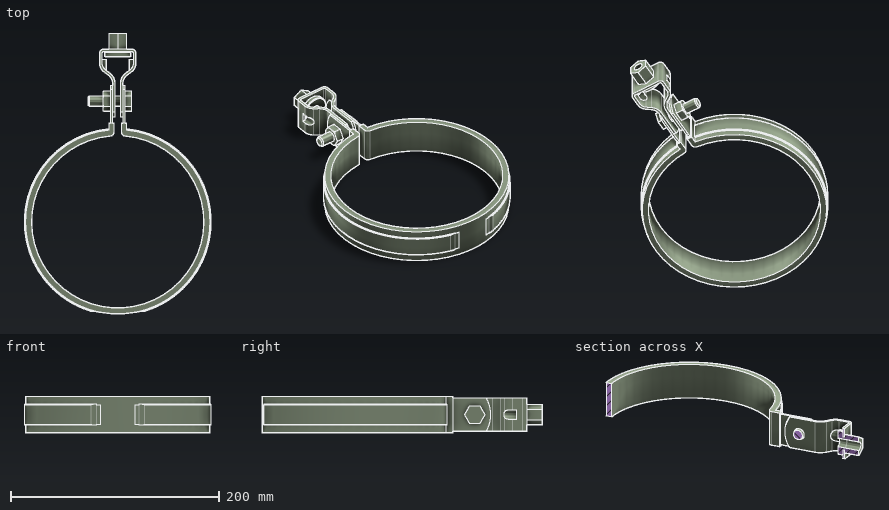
import cadquery as cq
import math


ring_inner_radius = 82.5
ring_outer_radius = 88.5
ring_width = 35.0
gap_half_width = 3.5
ring_end_thickness = 5.0
ring_end_x = gap_half_width + ring_end_thickness
ring_end_y = 94.7
ring_corner_radius = 4.0

band_outer_radius = 89.73
band_width = 20.0
band_start_x = 25.7
band_ramp_x = 20.5
band_tip_x = 16.4
band_tip_height = 0.15
band_chamfer = 0.5

plate_width = 32.0
ear_end_radius = 33.0
yoke_end_radius = 28.0
bolt_y = 115.8
plate_end_reach = 15.2
ear_thickness = 2.0
ear_inner_x = 5.0
ear_outer_x = ear_inner_x + ear_thickness
bolt_hole_diameter = 11.0

yoke_thickness = 2.5
yoke_half_width = 17.5
yoke_top_y = 165.77
yoke_corner_radius = 4.0
shoulder_y = 152.1
shoulder_radius = 10.0
neck_radius = 10.0
slope_angle = math.radians(53)
dimple_outer_diameter = 13.0
dimple_inner_diameter = 9.0
dimple_top_y = 155.8

connector_flats = 17.0
connector_height = 15.0
connector_shank_diameter = 13.0
connector_bore_diameter = 8.38
flange_diameter = 25.0
flange_thickness = 5.0
flange_chamfer = 0.6

bolt_diameter = 10.0
bolt_tip_diameter = 8.38
bolt_tip_length = 1.5
bolt_length = 35.5
hexagon_flats = 17.0
bolt_head_height = 6.4
nut_height = 7.2
nut_chamfer = 0.8


def across_corners(across_flats):
    return across_flats / math.cos(math.pi / 6)


def mirrored(solid):
    """The shape together with its copy on the other side of the YZ plane."""
    return solid.union(solid.mirror("YZ"))


def block(x_min, x_max, y_min, y_max, width):
    """Box between the given X and Y limits, centred on Z = 0."""
    corner = cq.Workplane("XY", origin=(x_min, y_min, 0))
    return corner.box(x_max - x_min, y_max - y_min, width, centered=(False, False, True))


def round_plate_end(plate, end_y, end_radius, direction):
    """Round the end at end_y of a plate lying in a YZ plane; the end points along direction * Y."""
    centre_y = end_y - direction * end_radius
    disc = cq.Workplane("YZ").center(centre_y, 0).circle(end_radius)
    corners = (
        cq.Workplane("YZ")
        .center(end_y - direction * end_radius / 2, 0)
        .rect(end_radius, 2 * end_radius)
        .extrude(yoke_half_width, both=True)
        .cut(disc.extrude(yoke_half_width, both=True))
    )
    return plate.cut(corners)


def bolt_hole():
    circle = cq.Workplane("YZ").center(bolt_y, 0).circle(bolt_hole_diameter / 2)
    return circle.extrude(yoke_half_width, both=True)


def make_bands():
    """Two raised bands, each ramping down to a shallow tip near the bottom of the ring."""

    def below(radius, x):
        return (x, -math.sqrt(radius**2 - x**2))

    def above(radius, x):
        return (x, math.sqrt(radius**2 - x**2))

    tip_radius = ring_outer_radius + band_tip_height
    root_radius = (ring_inner_radius + ring_outer_radius) / 2
    band = (
        cq.Workplane("XY")
        .moveTo(*above(band_outer_radius, ring_end_x))
        .threePointArc((band_outer_radius, 0), below(band_outer_radius, band_start_x))
        .lineTo(*below(tip_radius, band_ramp_x))
        .lineTo(*below(root_radius, band_ramp_x))
        .threePointArc((root_radius, 0), above(root_radius, ring_end_x))
        .close()
        .extrude(band_width / 2, both=True)
    )
    band = band.edges(cq.selectors.RadiusNthSelector(-1)).chamfer(band_chamfer)

    tip_middle_x = (band_tip_x + band_ramp_x) / 2
    tip = (
        cq.Workplane("XY")
        .moveTo(*below(tip_radius, band_ramp_x))
        .threePointArc(below(tip_radius, tip_middle_x), below(tip_radius, band_tip_x))
        .lineTo(*below(root_radius, band_tip_x))
        .lineTo(*below(root_radius, band_ramp_x))
        .close()
        .extrude(band_width / 2 - band_chamfer, both=True)
    )
    return mirrored(band.union(tip))


def make_ring():
    hoop = cq.Workplane("XY").circle(ring_outer_radius).extrude(ring_width / 2, both=True)
    ends = block(-ring_end_x, ring_end_x, 0, ring_end_y, ring_width)
    bore = cq.Workplane("XY").circle(ring_inner_radius).extrude(ring_width, both=True)
    gap = block(-gap_half_width, gap_half_width, 0, ring_end_y, ring_width)
    ring = hoop.union(ends).cut(bore).cut(gap)
    inner_edge_y = math.sqrt(ring_inner_radius**2 - gap_half_width**2)
    for side in (-1, 1):
        edge_point = (side * gap_half_width, inner_edge_y, 0)
        ring = ring.edges(cq.selectors.NearestToPointSelector(edge_point)).fillet(ring_corner_radius)

    ear = block(ear_inner_x, ear_outer_x, ring_end_y, bolt_y + plate_end_reach, plate_width)
    ear = round_plate_end(ear, bolt_y + plate_end_reach, ear_end_radius, 1).cut(bolt_hole())
    return ring.union(mirrored(ear)).union(make_bands())


def yoke_outline(inset):
    """Closed region bounded by the yoke's outer face moved inwards by inset."""
    side_x = yoke_half_width - inset
    leg_x = ear_inner_x - inset
    top_y = yoke_top_y - inset
    corner = yoke_corner_radius - inset
    shoulder = shoulder_radius - inset
    neck = neck_radius + inset
    sine = math.sin(slope_angle)
    cosine = math.cos(slope_angle)
    half_sine = math.sin(slope_angle / 2)
    half_cosine = math.cos(slope_angle / 2)

    shoulder_centre_x = side_x - shoulder
    slope_start = (shoulder_centre_x + shoulder * cosine, shoulder_y - shoulder * sine)
    shoulder_middle = (shoulder_centre_x + shoulder * half_cosine, shoulder_y - shoulder * half_sine)
    neck_centre_x = leg_x + neck
    slope_end_x = neck_centre_x - neck * cosine
    slope_end_y = slope_start[1] - (slope_start[0] - slope_end_x) / math.tan(slope_angle)
    neck_y = slope_end_y - neck * sine
    neck_middle = (neck_centre_x - neck * half_cosine, neck_y + neck * half_sine)
    diagonal = corner * math.sqrt(0.5)
    half = (
        cq.Workplane("XY")
        .moveTo(0, top_y)
        .lineTo(side_x - corner, top_y)
        .threePointArc((side_x - corner + diagonal, top_y - corner + diagonal), (side_x, top_y - corner))
        .lineTo(side_x, shoulder_y)
        .threePointArc(shoulder_middle, slope_start)
        .lineTo(slope_end_x, slope_end_y)
        .threePointArc(neck_middle, (leg_x, neck_y))
        .lineTo(leg_x, bolt_y - plate_end_reach)
        .lineTo(0, bolt_y - plate_end_reach)
        .close()
        .extrude(plate_width / 2, both=True)
    )
    return mirrored(half)


def make_yoke():
    outer = yoke_outline(0)
    inner = yoke_outline(yoke_thickness)
    yoke = round_plate_end(outer.cut(inner), bolt_y - plate_end_reach, yoke_end_radius, -1)

    dimple_length = shoulder_radius + yoke_thickness
    for side in (-1, 1):
        rod = cq.Workplane("XZ", origin=(side * yoke_half_width, dimple_top_y, 0))
        bulge = rod.circle(dimple_outer_diameter / 2).extrude(dimple_length)
        groove = rod.circle(dimple_inner_diameter / 2).extrude(dimple_length)
        yoke = yoke.union(bulge.intersect(outer)).cut(groove)

    shank_hole = cq.Workplane("XZ", origin=(0, yoke_top_y, 0)).circle(connector_shank_diameter / 2)
    return yoke.cut(shank_hole.extrude(yoke_thickness)).cut(bolt_hole())


def make_connector():
    flange_y = yoke_top_y - yoke_thickness
    hexagon = (
        cq.Workplane("XZ", origin=(0, yoke_top_y, 0))
        .polygon(6, across_corners(connector_flats))
        .extrude(-connector_height)
        .rotate((0, 0, 0), (0, 1, 0), 30)
    )
    shank = cq.Workplane("XZ", origin=(0, yoke_top_y, 0)).circle(connector_shank_diameter / 2)
    flange = cq.Workplane("XZ", origin=(0, flange_y, 0)).circle(flange_diameter / 2).extrude(flange_thickness)
    flange = flange.edges().chamfer(flange_chamfer)
    bore = cq.Workplane("XZ", origin=(0, yoke_top_y, 0)).circle(connector_bore_diameter / 2)
    solid = hexagon.union(shank.extrude(yoke_thickness)).union(flange)
    return solid.cut(bore.extrude(connector_height + flange_thickness, both=True))


def make_bolt():
    """Bolt and nut clamping both ears; the head is on the +X side."""

    def hexagon(start_x, height):
        return (
            cq.Workplane("YZ", origin=(start_x, bolt_y, 0))
            .polygon(6, across_corners(hexagon_flats))
            .extrude(height)
        )

    head = hexagon(ear_outer_x, bolt_head_height)
    tip_chamfer = (bolt_diameter - bolt_tip_diameter) / 2
    shank = (
        cq.Workplane("YZ", origin=(ear_outer_x, bolt_y, 0))
        .circle(bolt_diameter / 2)
        .extrude(-bolt_length)
        .faces("<X")
        .chamfer(bolt_tip_length, tip_chamfer)
    )
    nut_cone = (
        cq.Workplane("YZ", origin=(-ear_outer_x, bolt_y, 0))
        .circle(across_corners(hexagon_flats) / 2)
        .extrude(-nut_height)
        .faces("<X")
        .chamfer(nut_chamfer)
    )
    nut = hexagon(-ear_outer_x, -nut_height).intersect(nut_cone)
    return head.union(shank).union(nut)


ring = make_ring()
yoke = make_yoke()
connector = make_connector()
bolt = make_bolt()

bodies = [ring, yoke, connector, bolt]
result = cq.Compound.makeCompound([body.solids().val() for body in bodies])